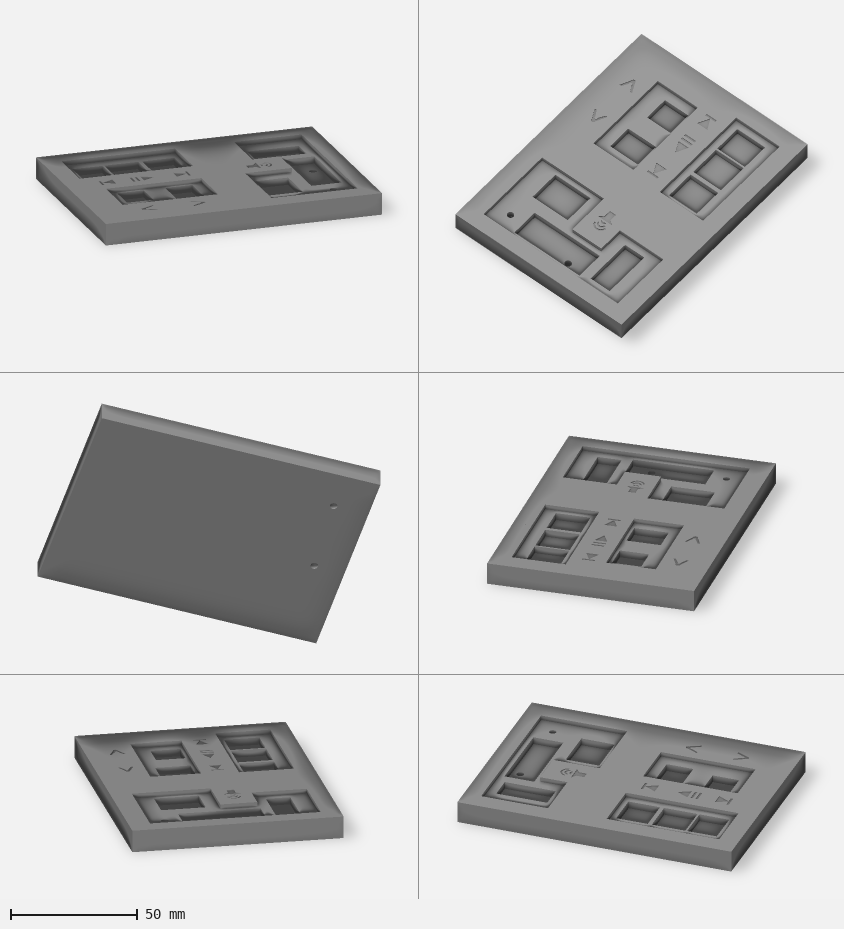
import cadquery as cq


frame_width = 85.0
frame_length = 115.0
frame_height = 9.0
panel_thickness = 2.0
board_thickness = 3.0
panel_bottom = frame_height - panel_thickness
board_bottom = panel_bottom - board_thickness

rim_width = 5.0
panel_width = frame_width - 2 * rim_width
panel_length = frame_length - 2 * rim_width
tab_reach = 1.8
tab_length = 9.9
tab_center_y = -2.5

board_width = 68.5
board_length = 100.0

left_window_edge = -34.7
left_window_right = -12.5
middle_window_left = 2.3
upper_window_right = 33.9
upper_window_top = 50.4
upper_window_left_bottom = 22.3
upper_window_notch_top = 33.8
upper_window_right_bottom = 14.3
key_window_bottom = -49.6
key_window_top = -2.3
middle_window_right = 22.8
middle_window_bottom = -43.7
middle_window_top = -4.0

side_cutout = (-27.5, -17.7, 25.3, 46.7)
display_cutout = (-13.5, 19.8, 35.9, 48.4)
square_cutout = (7.5, 25.4, 16.3, 30.4)
key_left = -29.7
key_right = -15.5
upper_key_cutout = (key_left, key_right, -17.7, -4.5)
middle_key_cutout = (key_left, key_right, -33.5, -19.4)
lower_key_cutout = (key_left, key_right, -46.7, -34.3)
relay_left = 3.6
upper_relay_cutout = (relay_left, 17.7, -19.4, -8.3)
lower_relay_cutout = (relay_left, 15.5, -39.5, -28.4)
board_cutouts = [
    side_cutout,
    display_cutout,
    square_cutout,
    upper_key_cutout,
    middle_key_cutout,
    lower_key_cutout,
    upper_relay_cutout,
    lower_relay_cutout,
]

frame_hole_diameter = 3.0
frame_hole_centers = [(-4.8, 45.0), (26.7, 43.1)]
board_hole_diameter = 2.9
board_hole_center = (26.5, 42.8)

engraving_depth = 0.5
engraving_bottom = frame_height - engraving_depth
symbol_x = -5.0
symbol_width = 5.2
triangle_height = 5.1
bar_height = 0.9
bar_overlap = 0.1
end_up_bar_y = -7.1
end_down_bar_y = -43.1
stop_triangle_base_y = -26.2
stop_bar_ys = [-28.1, -30.1]

horn_top = 22.3
horn_half_width = 3.6
horn_neck_y = 20.8
horn_neck_half_width = 1.5
horn_bottom = 17.5
wave_thickness = 0.7
sound_waves = [(2.9, 25.3, 27.8), (1.8, 24.4, 26.2), (1.3, 23.1, 24.2)]

chevron_x = 30.0
chevron_tip_ys = {1: -11.8, -1: -38.3}
chevron_height = 5.6
chevron_half_width = 3.2
chevron_arm_width = 0.9
chevron_tip_half_width = 0.9
chevron_tip_drop = 0.9
chevron_inner_drop = 1.8
chevron_inner_half_width = 0.6


def box_between(left, right, bottom, top, z_low, z_high):
    """Axis-aligned block between the given limits."""
    return (
        cq.Workplane("XY", origin=((left + right) / 2, (bottom + top) / 2, z_low))
        .rect(right - left, top - bottom)
        .extrude(z_high - z_low)
    )


def make_panel_blank():
    """Full-depth panel outline with its two side tabs."""
    plate = (
        cq.Workplane("XY", origin=(0, 0, panel_bottom))
        .rect(panel_width, panel_length)
        .extrude(panel_thickness)
    )
    tabs = (
        cq.Workplane("XY", origin=(0, tab_center_y, panel_bottom))
        .rect(panel_width + 2 * tab_reach, tab_length)
        .extrude(panel_thickness)
    )
    return plate.union(tabs)


def make_board_blank():
    """Plain rectangular board."""
    return (
        cq.Workplane("XY", origin=(0, 0, board_bottom))
        .rect(board_width, board_length)
        .extrude(board_thickness)
    )


def make_frame():
    """Tray with a stepped recess for the board and panel, and two holes through its floor."""
    block = cq.Workplane("XY").rect(frame_width, frame_length).extrude(frame_height)
    holes = (
        cq.Workplane("XY")
        .pushPoints(frame_hole_centers)
        .circle(frame_hole_diameter / 2)
        .extrude(board_bottom)
    )
    return block.cut(make_panel_blank()).cut(make_board_blank()).cut(holes)


def make_board():
    """Board with its component cutouts and one screw hole."""
    board = make_board_blank()
    for cutout in board_cutouts:
        board = board.cut(box_between(*cutout, board_bottom, panel_bottom))
    hole = (
        cq.Workplane("XY", origin=(*board_hole_center, board_bottom))
        .circle(board_hole_diameter / 2)
        .extrude(board_thickness)
    )
    return board.cut(hole)


def make_windows():
    """The three openings through the panel."""
    upper_window = (
        cq.Workplane("XY", origin=(0, 0, panel_bottom))
        .moveTo(left_window_edge, upper_window_top)
        .lineTo(upper_window_right, upper_window_top)
        .lineTo(upper_window_right, upper_window_right_bottom)
        .lineTo(middle_window_left, upper_window_right_bottom)
        .lineTo(middle_window_left, upper_window_notch_top)
        .lineTo(left_window_right, upper_window_notch_top)
        .lineTo(left_window_right, upper_window_left_bottom)
        .lineTo(left_window_edge, upper_window_left_bottom)
        .close()
        .extrude(panel_thickness)
    )
    key_window = box_between(
        left_window_edge, left_window_right, key_window_bottom, key_window_top, panel_bottom, frame_height
    )
    middle_window = box_between(
        middle_window_left,
        middle_window_right,
        middle_window_bottom,
        middle_window_top,
        panel_bottom,
        frame_height,
    )
    return [upper_window, key_window, middle_window]


def make_triangle(base_y, direction):
    """Triangle pointing up (direction 1) or down (direction -1) the panel."""
    corners = [
        (symbol_x - symbol_width / 2, base_y),
        (symbol_x + symbol_width / 2, base_y),
        (symbol_x, base_y + direction * triangle_height),
    ]
    return (
        cq.Workplane("XY", origin=(0, 0, engraving_bottom))
        .polyline(corners)
        .close()
        .extrude(engraving_depth)
    )


def make_bar(center_y):
    """Horizontal bar as wide as a triangle."""
    return (
        cq.Workplane("XY", origin=(symbol_x, center_y, engraving_bottom))
        .rect(symbol_width, bar_height)
        .extrude(engraving_depth)
    )


def make_end_symbol(bar_y, direction):
    """Triangle whose tip runs into a bar."""
    base_y = bar_y - direction * (bar_height / 2 - bar_overlap + triangle_height)
    return make_triangle(base_y, direction).union(make_bar(bar_y))


def make_horn():
    """Speaker horn: a narrow neck flaring out to the top."""
    return (
        cq.Workplane("XY", origin=(symbol_x, 0, engraving_bottom))
        .moveTo(-horn_half_width, horn_top)
        .lineTo(horn_half_width, horn_top)
        .lineTo(horn_neck_half_width, horn_neck_y)
        .lineTo(horn_neck_half_width, horn_bottom)
        .lineTo(-horn_neck_half_width, horn_bottom)
        .lineTo(-horn_neck_half_width, horn_neck_y)
        .close()
        .extrude(engraving_depth)
    )


def make_wave(half_width, end_y, crest_y):
    """Arched band of a sound wave."""
    inner_half_width = half_width - wave_thickness
    return (
        cq.Workplane("XY", origin=(symbol_x, 0, engraving_bottom))
        .moveTo(-half_width, end_y)
        .threePointArc((0, crest_y), (half_width, end_y))
        .lineTo(inner_half_width, end_y)
        .threePointArc((0, crest_y - wave_thickness), (-inner_half_width, end_y))
        .close()
        .extrude(engraving_depth)
    )


def make_chevron(tip_y, direction):
    """Round-tipped chevron pointing up (direction 1) or down (direction -1) the panel."""
    shoulder_y = -direction * chevron_tip_drop
    inner_y = -direction * chevron_inner_drop
    inner_shoulder_y = inner_y + shoulder_y
    end_y = -direction * chevron_height
    inner_end = chevron_half_width - chevron_arm_width
    return (
        cq.Workplane("XY", origin=(chevron_x, tip_y, engraving_bottom))
        .moveTo(-chevron_half_width, end_y)
        .lineTo(-chevron_tip_half_width, shoulder_y)
        .threePointArc((0, 0), (chevron_tip_half_width, shoulder_y))
        .lineTo(chevron_half_width, end_y)
        .lineTo(inner_end, end_y)
        .lineTo(chevron_inner_half_width, inner_shoulder_y)
        .threePointArc((0, inner_y), (-chevron_inner_half_width, inner_shoulder_y))
        .lineTo(-inner_end, end_y)
        .close()
        .extrude(engraving_depth)
    )


def make_symbols():
    """All the symbols engraved in the panel."""
    symbols = [
        make_end_symbol(end_up_bar_y, 1),
        make_triangle(stop_triangle_base_y, 1),
        make_end_symbol(end_down_bar_y, -1),
        make_horn(),
    ]
    symbols += [make_bar(bar_y) for bar_y in stop_bar_ys]
    symbols += [make_wave(*wave) for wave in sound_waves]
    symbols += [make_chevron(tip_y, direction) for direction, tip_y in chevron_tip_ys.items()]
    return symbols


def make_panel():
    """Front panel with its windows and engraved symbols."""
    panel = make_panel_blank()
    for opening in make_windows() + make_symbols():
        panel = panel.cut(opening)
    return panel


frame = make_frame()
board = make_board()
panel = make_panel()

result = cq.Compound.makeCompound([frame.val(), board.val(), panel.val()])